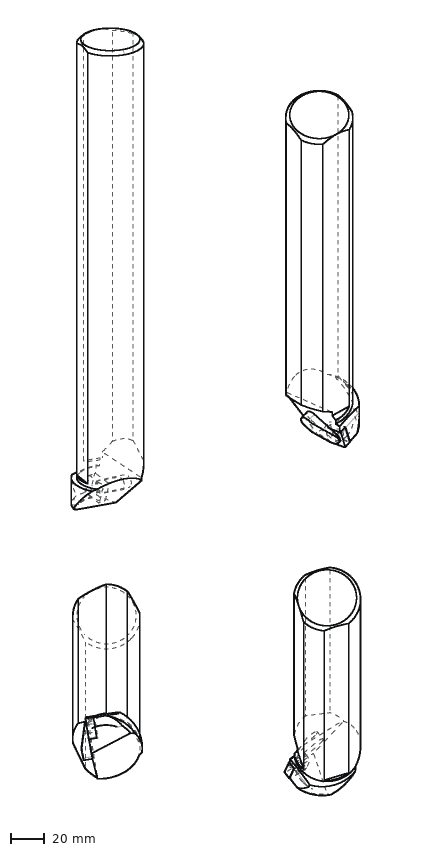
import cadquery as cq
import math

total_length = 304.2
overall_width = 47.0
overall_depth = 40.8
shank_radius = 20.0
side_flat_distance = 17.5
cross_flat_distance = 18.5
flat_end_z = 23.5
side_flat_end_z = 27.5
end_chamfer = 2.5

head_radius = 25.0
head_center_x = -2.0
head_front_y = cross_flat_distance - overall_depth
head_center_y = head_front_y + head_radius
head_bottom_z = 1.5
head_top_z = 20.0
shoulder_rise = 1.2
upper_flank_height = 11.5
upper_flank_angle = 10.0
head_bottom_chamfer = 1.8
nose_cut_offset = -8.0

insert_side = 12.8
insert_thickness = 5.0
insert_corner_radius = 1.0
insert_hole_diameter = 5.2
insert_tilt = 16.0
rake_turn = 19.0
insert_overhang = 0.45
tip_x = shank_radius - overall_width
nose_y = 0.0

clamp_boss_x = 23.7
clamp_boss_z = 15.0
clamp_radius = 4.0
clamp_height = 5.8
clamp_tip_height = 1.0

pocket_roof_point = (-side_flat_distance, 3.3, 31.3)
pocket_roof_normal = (0.5, -0.84, 1.0)

clearance = 182.5

turn = math.radians(rake_turn)
tilt = math.radians(insert_tilt)
straight_edge = insert_side - 2 * insert_corner_radius
rake_plane = cq.Plane(
    origin=(
        tip_x + insert_corner_radius * math.cos(turn),
        nose_y,
        insert_corner_radius + straight_edge * math.sin(tilt),
    ),
    xDir=(math.cos(turn), math.sin(turn), 0),
    normal=(math.sin(turn), -math.cos(turn), 0),
)
insert_plane = rake_plane.rotated((0, 0, -insert_tilt))


def make_shank():
    """Round shank with three long flats and a chamfered upper end."""
    shank = (
        cq.Workplane("XY", origin=(0, 0, head_bottom_z))
        .circle(shank_radius)
        .extrude(total_length - head_bottom_z)
        .faces(">Z")
        .chamfer(end_chamfer)
    )
    for side in (-1, 1):
        flat_cut = cq.Workplane("XY").box(
            clearance, shank_radius, total_length, centered=(True, True, False)
        )
        flat_y = side * (cross_flat_distance + shank_radius / 2)
        shank = shank.cut(flat_cut.translate((0, flat_y, flat_end_z)))

    run_out = side_flat_end_z - flat_end_z
    side_flat_cut = (
        cq.Workplane("XZ")
        .polyline([
            (-side_flat_distance, side_flat_end_z),
            (-side_flat_distance, total_length),
            (-side_flat_distance - run_out, total_length),
            (-side_flat_distance - run_out, flat_end_z),
        ])
        .close()
        .extrude(clearance / 2, both=True)
    )
    return shank.cut(side_flat_cut)


def make_head():
    """Offset cylinder with reliefs that run parallel to two insert edges."""
    cylinder = (
        cq.Workplane("XY", origin=(head_center_x, head_center_y, head_bottom_z))
        .circle(head_radius)
        .extrude(head_top_z - head_bottom_z)
        .faces("<Z")
        .chamfer(head_bottom_chamfer)
    )
    relief_corner = insert_overhang - insert_corner_radius
    run_out = clearance * math.tan(math.radians(upper_flank_angle))
    relief_space = (
        cq.Workplane(insert_plane)
        .polyline([
            (relief_corner, relief_corner),
            (relief_corner, upper_flank_height),
            (relief_corner - run_out, upper_flank_height + clearance),
            (clearance, upper_flank_height + clearance),
            (clearance, relief_corner),
        ])
        .close()
        .extrude(clearance, both=True)
    )
    shoulder = (
        cq.Workplane("XY", origin=(head_center_x, head_center_y, head_top_z))
        .circle(head_radius)
        .workplane(offset=shoulder_rise)
        .center(-head_center_x, -head_center_y)
        .circle(shank_radius)
        .loft()
    )
    return cylinder.union(shoulder).intersect(relief_space)


def make_nose_cut():
    """45 degree relief below the +X side."""
    return (
        cq.Workplane("XZ")
        .polyline([
            (nose_cut_offset, 0),
            (nose_cut_offset + clearance, clearance),
            (nose_cut_offset + clearance, 0),
        ])
        .close()
        .extrude(clearance / 2, both=True)
    )


def make_chip_pocket():
    """Space in front of the rake face and below the sloped roof."""
    before_rake = cq.Workplane(rake_plane).rect(clearance, clearance).extrude(-clearance)
    roof_plane = cq.Plane(origin=pocket_roof_point, normal=pocket_roof_normal)
    below_roof = cq.Workplane(roof_plane).rect(clearance, clearance).extrude(-clearance)
    return before_rake.intersect(below_roof)


def make_insert_blank():
    """Square plate with rounded corners, without its hole."""
    return (
        cq.Workplane(insert_plane)
        .center(straight_edge / 2, straight_edge / 2)
        .rect(insert_side, insert_side)
        .extrude(insert_thickness)
        .edges(cq.selectors.ParallelDirSelector(insert_plane.zDir))
        .fillet(insert_corner_radius)
    )


def make_insert_pin():
    """Plug through the hole of the insert."""
    return (
        cq.Workplane(insert_plane)
        .center(straight_edge / 2, straight_edge / 2)
        .circle(insert_hole_diameter / 2)
        .extrude(insert_thickness)
    )


def make_clamp():
    """Round-ended clamp whose outer face slopes from the boss to the insert."""
    insert_center = insert_plane.toWorldCoords((straight_edge / 2, straight_edge / 2))
    tip = rake_plane.toLocalCoords(insert_center)
    boss_z = clamp_boss_z - rake_plane.origin.z
    run = clamp_boss_x - tip.x
    rise = boss_z - tip.y
    outline = (
        cq.Workplane(rake_plane)
        .center((tip.x + clamp_boss_x) / 2, (tip.y + boss_z) / 2)
        .slot2D(math.hypot(run, rise) + 2 * clamp_radius, 2 * clamp_radius,
                math.degrees(math.atan2(rise, run)))
        .extrude(-clamp_height)
    )
    profile_plane = cq.Plane(
        origin=rake_plane.origin, xDir=rake_plane.xDir, normal=(0, 0, 1)
    )
    profile = (
        cq.Workplane(profile_plane)
        .polyline([
            (tip.x - clamp_radius, 0),
            (tip.x - clamp_radius, clamp_tip_height),
            (clamp_boss_x - clamp_radius, clamp_height),
            (clamp_boss_x + clamp_radius, clamp_height),
            (clamp_boss_x + clamp_radius, 0),
        ])
        .close()
        .extrude(clearance, both=True)
    )
    return outline.intersect(profile)


def make_holder():
    """Shank, head, insert pin and clamp in one piece, with a seat for the insert."""
    body = make_shank().union(make_head())
    for cutter in (make_nose_cut(), make_chip_pocket(), make_insert_blank()):
        body = body.cut(cutter)
    return body.union(make_insert_pin()).union(make_clamp())


def make_insert():
    """Cutting insert with its central hole."""
    return make_insert_blank().cut(make_insert_pin())


holder = make_holder()
insert = make_insert()
result = cq.Compound.makeCompound([*holder.solids().vals(), *insert.solids().vals()])